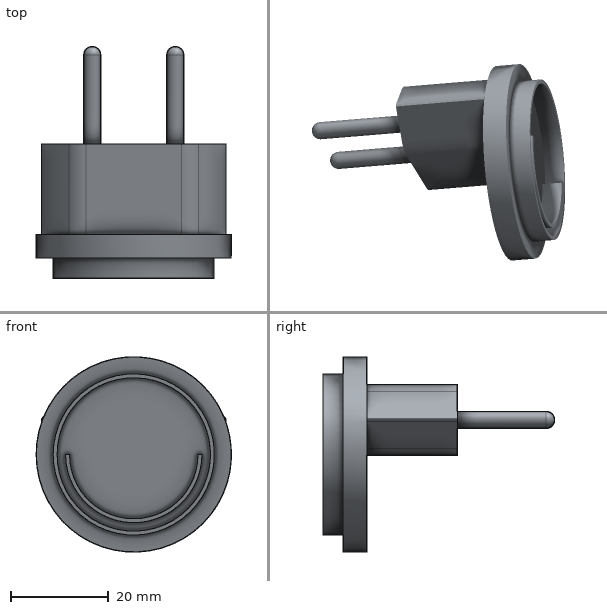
import cadquery as cq

flange_diameter = 40.0
flange_thickness = 4.85
cup_outer_diameter = 33.0
cup_inner_diameter = 31.4
cup_height = 4.2
cup_depth = 4.0

rib_outer_radius = 13.95
rib_thickness = 0.8

body_length = 18.5
body_half_width = 18.9
body_half_height = 7.25
side_flat_half_height = 0.25
slope_run = 7.08
shoulder_radius = 5.0
body_center_z = 7.08

pin_diameter = 3.5
pin_half_spacing = 8.5
overall_length = 47.5

flange_front = cup_height
flange_back = flange_front + flange_thickness
body_back = flange_back + body_length


def plane_at(y, z=0):
    """Sketch plane facing +Y, with local X = -X and local Y = +Z."""
    return cq.Workplane(cq.Plane(origin=(0, y, z), xDir=(-1, 0, 0), normal=(0, 1, 0)))


def make_base():
    flange = plane_at(flange_front).circle(flange_diameter / 2).extrude(flange_thickness)
    cup = plane_at(0).circle(cup_outer_diameter / 2).extrude(cup_height)
    recess = plane_at(0).circle(cup_inner_diameter / 2).extrude(cup_depth)
    return flange.union(cup).cut(recess)


def make_rib():
    inner_radius = rib_outer_radius - rib_thickness
    return (
        plane_at(0)
        .moveTo(-rib_outer_radius, 0)
        .threePointArc((0, -rib_outer_radius), (rib_outer_radius, 0))
        .lineTo(inner_radius, 0)
        .threePointArc((0, -inner_radius), (-inner_radius, 0))
        .close()
        .extrude(cup_depth)
    )


def make_body():
    shoulder_x = body_half_width - slope_run
    outline = [
        (body_half_width, side_flat_half_height),
        (shoulder_x, body_half_height),
        (-shoulder_x, body_half_height),
        (-body_half_width, side_flat_half_height),
        (-body_half_width, -side_flat_half_height),
        (-shoulder_x, -body_half_height),
        (shoulder_x, -body_half_height),
        (body_half_width, -side_flat_half_height),
    ]
    body = plane_at(flange_back, body_center_z).polyline(outline).close().extrude(body_length)
    return body.edges("|Y").edges(">Z or <Z").fillet(shoulder_radius)


def make_pin(x):
    radius = pin_diameter / 2
    tip_center_y = overall_length - radius
    shank = (
        plane_at(body_back, body_center_z)
        .center(-x, 0)
        .circle(radius)
        .extrude(tip_center_y - body_back)
    )
    tip = cq.Workplane("XY").sphere(radius).translate((x, tip_center_y, body_center_z))
    return shank.union(tip)


result = make_base().union(make_rib()).union(make_body())
for pin_x in (-pin_half_spacing, pin_half_spacing):
    result = result.union(make_pin(pin_x))